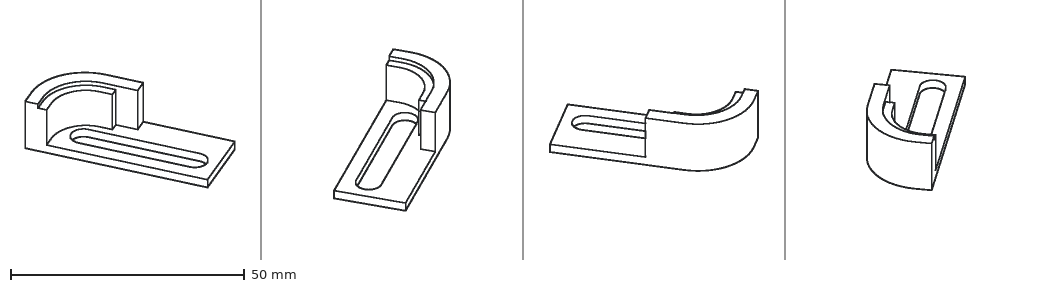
import cadquery as cq

length = 42.05
width = 16.1
height = 12.0
base_thickness = 2.0

outer_radius = 12.3
wall_side_thickness = 3.0
wall_back_thickness = 3.3
wall_end_x = 20.95

lip_thickness = 1.98
lip_drop = 1.0
lip_end_x = 15.9
inner_bend_radius = 8.0

slot_start_x = 8.25
slot_end_x = 39.5
slot_width = 5.65
slot_center_y = 6.15


def rounded_corner_plate(left, right, back, radius, thickness):
    """Plate from the front edge to back, with its back-left corner rounded."""
    return (
        cq.Workplane("XY")
        .moveTo(left, 0)
        .lineTo(left, back - radius)
        .radiusArc((left + radius, back), radius)
        .lineTo(right, back)
        .lineTo(right, 0)
        .close()
        .extrude(thickness)
    )


wall_inner_back = width - wall_back_thickness
lip_inner_left = wall_side_thickness + lip_thickness
lip_inner_back = wall_inner_back - lip_thickness

base = rounded_corner_plate(0, length, width, outer_radius, base_thickness)

wall = rounded_corner_plate(0, wall_end_x, width, outer_radius, height).cut(
    rounded_corner_plate(
        wall_side_thickness, wall_end_x, wall_inner_back, inner_bend_radius + lip_thickness, height
    )
)

lip = rounded_corner_plate(
    wall_side_thickness, lip_end_x, wall_inner_back, inner_bend_radius + lip_thickness, height - lip_drop
).cut(rounded_corner_plate(lip_inner_left, lip_end_x, lip_inner_back, inner_bend_radius, height))

slot = (
    cq.Workplane("XY")
    .center((slot_start_x + slot_end_x) / 2, slot_center_y)
    .slot2D(slot_end_x - slot_start_x, slot_width)
    .extrude(base_thickness)
)

result = base.union(wall).union(lip).cut(slot)